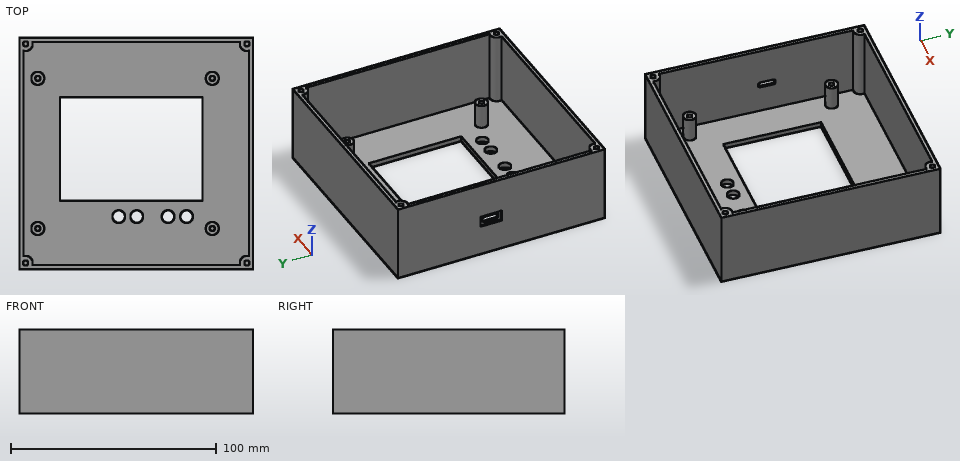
import cadquery as cq

length = 114.0
width = 113.0
height = 41.0
wall = 2.0
floor = 3.0

screw_hole_diameter = 2.5
screw_hole_depth = 11.4
post_diameter = 7.0
post_inset = 3.1

standoff_diameter = 6.4
standoff_height = 13.0
standoff_spacing_x = 85.0
standoff_spacing_y = 73.2
standoff_center_x = -5.5

window_length = 69.3
window_width = 50.4
window_center = (-2.4, 2.2)

round_hole_diameter = 6.0
round_hole_xs = (-8.5, 0.2, 15.5, 24.5)
round_hole_y = -30.8

port_y = 5.6
port_z = 19.4
recess_width = 11.6
recess_height = 5.8
recess_corner_radius = 0.6
recess_depth = 0.9
slot_width = 8.9
slot_height = 3.0
slot_corner_radius = 1.4


def rectangle_points(spacing_x, spacing_y, center_x=0.0):
    """Corners of a rectangle that is centred on Y = 0."""
    return [
        (center_x + side_x * spacing_x / 2, side_y * spacing_y / 2)
        for side_x in (-1, 1)
        for side_y in (-1, 1)
    ]


def cylinders(points, diameter, bottom, top):
    """Vertical cylinders at the given points."""
    return (
        cq.Workplane("XY")
        .workplane(offset=bottom)
        .pushPoints(points)
        .circle(diameter / 2)
        .extrude(top - bottom)
    )


def port_cutter(opening_width, opening_height, corner_radius, depth):
    """Rounded rectangular prism reaching inward from the -X face."""
    return (
        cq.Workplane("XY")
        .box(depth, opening_width, opening_height, centered=(False, True, True))
        .edges("|X")
        .fillet(corner_radius)
        .translate((-length / 2, port_y, port_z))
    )


shell = cq.Workplane("XY").box(length, width, height, centered=(True, True, False))
cavity = (
    cq.Workplane("XY")
    .box(length - 2 * wall, width - 2 * wall, height, centered=(True, True, False))
    .translate((0, 0, floor))
)
result = shell.cut(cavity)

post_points = rectangle_points(length - 2 * post_inset, width - 2 * post_inset)
standoff_points = rectangle_points(standoff_spacing_x, standoff_spacing_y, standoff_center_x)
standoff_top = floor + standoff_height
posts = cylinders(post_points, post_diameter, 0, height)
posts = posts.intersect(shell)
result = result.union(posts)
result = result.union(cylinders(standoff_points, standoff_diameter, 0, standoff_top))

result = result.cut(cylinders(post_points, screw_hole_diameter, height - screw_hole_depth, height))
result = result.cut(cylinders(standoff_points, screw_hole_diameter, floor, standoff_top))

window = cq.Workplane("XY").box(window_length, window_width, floor, centered=(True, True, False))
result = result.cut(window.translate((*window_center, 0)))
round_hole_points = [(x, round_hole_y) for x in round_hole_xs]
result = result.cut(cylinders(round_hole_points, round_hole_diameter, 0, floor))

result = result.cut(port_cutter(recess_width, recess_height, recess_corner_radius, recess_depth))
result = result.cut(port_cutter(slot_width, slot_height, slot_corner_radius, wall))